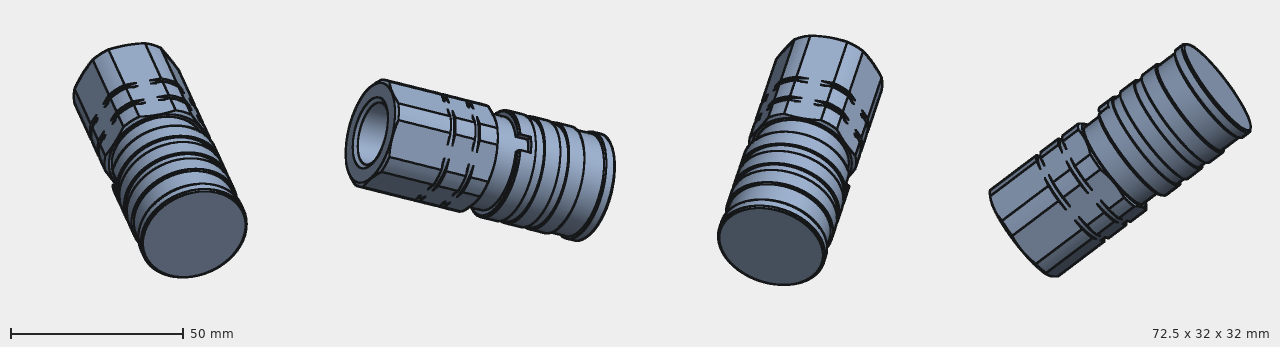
import cadquery as cq
import math

length = 72.5
outer_diameter = 32.0
outer_radius = outer_diameter / 2
neck_radius = 14.0

hex_length = 34.1
hex_across_flats = 30.0
hex_end_radius = 14.85
hex_chamfer_length = 0.65
hex_groove_starts = (17.9, 26.0)
hex_groove_width = 1.5
hex_groove_radius = 15.15

sleeve_start = 40.5
sleeve_chamfer = 0.5
square_grooves = ((46.05, 49.1), (54.15, 57.05))
tapered_groove_start = 62.1
tapered_groove_end = 69.4
near_taper_length = 0.3
far_taper_length = 0.4
sleeve_groove_radius = 15.4

notch_length = 4.0
notch_width = 5.15

bore_radius = 9.3
bore_mouth_radius = 10.6
bore_mouth_length = 0.95
bore_depth = 20.3
bore_floor_radius = 8.4
bore_floor_cone_length = 0.6


def revolved(profile):
    """Turn (x, radius) points about the X axis; the profile is closed along the axis."""
    first_x = profile[0][0]
    last_x = profile[-1][0]
    outline = [(first_x, 0), *profile, (last_x, 0)]
    return cq.Workplane("XY").polyline(outline).close().revolve(360, (0, 0, 0), (1, 0, 0))


def ring_cutter(start, width, floor_radius):
    """Ring that cuts everything outside floor_radius over the given stretch of X."""
    return (
        cq.Workplane("YZ", origin=(start, 0, 0))
        .circle(outer_diameter)
        .circle(floor_radius)
        .extrude(width)
    )


def hex_grip():
    hex_across_corners = hex_across_flats / math.cos(math.pi / 6)
    prism = (
        cq.Workplane("YZ")
        .polygon(6, hex_across_corners)
        .extrude(hex_length)
    )
    corner_rounding = revolved([
        (0, hex_end_radius),
        (hex_chamfer_length, outer_radius),
        (hex_length - hex_chamfer_length, outer_radius),
        (hex_length, hex_end_radius),
    ])
    grip = prism.intersect(corner_rounding)
    for start in hex_groove_starts:
        grip = grip.cut(ring_cutter(start, hex_groove_width, hex_groove_radius))
    return grip


def sleeve():
    body = revolved([
        (sleeve_start, outer_radius - sleeve_chamfer),
        (sleeve_start + sleeve_chamfer, outer_radius),
        (length - sleeve_chamfer, outer_radius),
        (length, outer_radius - sleeve_chamfer),
    ])
    for start, end in square_grooves:
        body = body.cut(ring_cutter(start, end - start, sleeve_groove_radius))
    groove_core = revolved([
        (tapered_groove_start, outer_radius),
        (tapered_groove_start + near_taper_length, sleeve_groove_radius),
        (tapered_groove_end - far_taper_length, sleeve_groove_radius),
        (tapered_groove_end, outer_radius),
    ])
    tapered_groove_width = tapered_groove_end - tapered_groove_start
    groove_envelope = ring_cutter(tapered_groove_start, tapered_groove_width, sleeve_groove_radius)
    body = body.cut(groove_envelope.cut(groove_core))
    notch_block = (
        cq.Workplane("XY")
        .box(notch_length, 2 * outer_diameter, notch_width)
        .translate((sleeve_start + notch_length / 2, 0, 0))
    )
    return body.cut(notch_block)


def neck():
    return revolved([(hex_length, neck_radius), (length, neck_radius)])


def bore():
    return revolved([
        (0, bore_mouth_radius),
        (bore_mouth_length, bore_radius),
        (bore_depth - bore_floor_cone_length, bore_radius),
        (bore_depth, bore_floor_radius),
    ])


result = hex_grip().union(neck()).union(sleeve()).cut(bore())